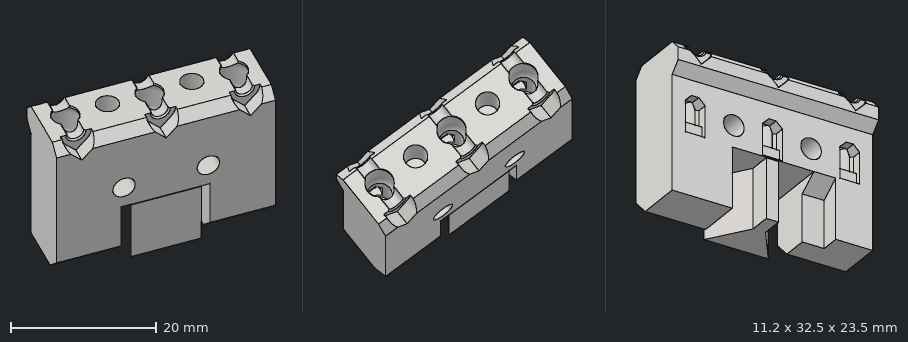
import cadquery as cq
import math

LENGTH = 32.5
THICKNESS = 11.2
HEIGHT = 23.5
LIP = 1.6
LIP_FACE = 2.0
FOOT_CHAMFER = 2.5

SEAT_PITCH = 12.5
SEAT_POSITIONS = [-SEAT_PITCH, 0, SEAT_PITCH]
HOLE_POSITIONS = [-SEAT_PITCH / 2, SEAT_PITCH / 2]
BORE_X = 5.0

SEAT_DIAMETER = 4.6
SEAT_MOUTH_DIAMETER = 4.03
SEAT_MOUTH_DEPTH = 0.4
SEAT_WALL_DEPTH = 4.55
BORE_DIAMETER = 3.5
BORE_FLOOR = 10.92

GROOVE_DIAMETER = 2.5
GROOVE_MOUTH_DIAMETER = 3.0
RECESS_DIAMETER = 4.55
FRONT_RECESS_DEPTH = 1.0
BACK_RECESS_DEPTH = 2.25

HOLE_DIAMETER = 3.3
HOLE_DEPTH = 6.5
CROSS_HOLE_Z = 13.15

WINDOW_WIDTH = 3.2
WINDOW_THROAT_WIDTH = 2.73
WINDOW_TAPER_START = 3.15
WINDOW_TAPER_END = 3.85
WINDOW_BOTTOM = 9.88
WINDOW_TOP = 15.9
WINDOW_CHAMFER = 1.0
WINDOW_LEDGE_DEPTH = 0.8
WINDOW_SILL = 11.93

OPENING_TOP = 9.7
OPENING_LEFT_Y = 6.5
OPENING_RIGHT_Y = -10.25
STEP_Y = -6.7
STEP_X = 4.65
STEP_SLOPE_HEIGHT = 2.08

KEY_CLEARANCE = 0.1
KEY_NOSE_WIDTH = 2.0
KEY_NOSE_LENGTH = 3.48
KEY_BACK_WIDTH = 10.45


def along_x(workplane_x):
    """Workplane facing +X whose local axes are Y and Z."""
    return cq.Workplane("YZ", origin=(workplane_x, 0, 0))


def make_profile_block():
    lip_bottom = HEIGHT - LIP - LIP_FACE
    outline = [
        (LIP, 0),
        (THICKNESS - FOOT_CHAMFER, 0),
        (THICKNESS, FOOT_CHAMFER),
        (THICKNESS, HEIGHT - LIP),
        (THICKNESS - LIP, HEIGHT),
        (LIP, HEIGHT),
        (0, HEIGHT - LIP),
        (0, lip_bottom),
        (LIP, lip_bottom - LIP),
    ]
    return cq.Workplane("XZ").polyline(outline).close().extrude(LENGTH / 2, both=True)


def make_opening():
    main = along_x(0).moveTo(STEP_Y, 0).lineTo(OPENING_LEFT_Y, 0).lineTo(OPENING_LEFT_Y, OPENING_TOP)
    main = main.lineTo(STEP_Y, OPENING_TOP).close().extrude(THICKNESS)
    step_outline = [
        (LIP, 0),
        (STEP_X, 0),
        (STEP_X, OPENING_TOP - STEP_SLOPE_HEIGHT),
        (LIP, OPENING_TOP),
    ]
    step = cq.Workplane("XZ", origin=(0, STEP_Y, 0)).polyline(step_outline).close()
    return main.union(step.extrude(STEP_Y - OPENING_RIGHT_Y))


def make_seat(y):
    """Seat with domed ends and a narrower mouth, and the blind bore below it."""
    ball_radius = SEAT_DIAMETER / 2
    mouth_radius = SEAT_MOUTH_DIAMETER / 2
    bore_radius = BORE_DIAMETER / 2
    dome_angle = math.acos(mouth_radius / ball_radius)
    bowl_angle = math.acos(bore_radius / ball_radius)
    dome_top = HEIGHT - SEAT_MOUTH_DEPTH
    dome_base = dome_top - ball_radius * math.sin(dome_angle)
    bowl_top = HEIGHT - SEAT_WALL_DEPTH
    bowl_bottom = bowl_top - ball_radius * math.sin(bowl_angle)
    dome_middle = (
        ball_radius * math.cos(dome_angle / 2),
        dome_base + ball_radius * math.sin(dome_angle / 2),
    )
    bowl_middle = (
        ball_radius * math.cos(bowl_angle / 2),
        bowl_top - ball_radius * math.sin(bowl_angle / 2),
    )
    half_section = (
        cq.Workplane("XZ", origin=(BORE_X, y, 0))
        .moveTo(0, BORE_FLOOR)
        .lineTo(bore_radius, BORE_FLOOR)
        .lineTo(bore_radius, bowl_bottom)
        .threePointArc(bowl_middle, (ball_radius, bowl_top))
        .lineTo(ball_radius, dome_base)
        .threePointArc(dome_middle, (mouth_radius, dome_top))
        .lineTo(mouth_radius, HEIGHT)
        .lineTo(0, HEIGHT)
        .close()
    )
    return half_section.revolve(360, (0, 0, 0), (0, 1, 0))


def make_recess(y, start_x, depth):
    """Teardrop recess, pointing down, along X."""
    radius = RECESS_DIAMETER / 2
    tangent = radius * 0.5**0.5
    circle = along_x(start_x).center(y, HEIGHT).circle(radius).extrude(depth)
    point = along_x(start_x).center(y, HEIGHT)
    point = point.polyline([(-tangent, -tangent), (0, -2 * tangent), (tangent, -tangent)]).close()
    return circle.union(point.extrude(depth))


def make_groove(y):
    """Round cable groove along X, flared where it meets the recesses."""
    radius = GROOVE_DIAMETER / 2
    mouth_radius = GROOVE_MOUTH_DIAMETER / 2
    flare = mouth_radius - radius
    front_x = FRONT_RECESS_DEPTH
    back_x = THICKNESS - BACK_RECESS_DEPTH
    outline = [
        (front_x, 0),
        (front_x, mouth_radius),
        (front_x + flare, radius),
        (back_x - flare, radius),
        (back_x, mouth_radius),
        (back_x, 0),
    ]
    groove = cq.Workplane("XY", origin=(0, y, HEIGHT)).polyline(outline).close()
    return groove.revolve(360, (0, 0, 0), (1, 0, 0))


def make_window(y):
    """Chamfer-topped window: a shallow ledge below, a tapering opening to the bore above."""
    window_height = WINDOW_TOP - WINDOW_BOTTOM
    half_width = WINDOW_WIDTH / 2
    half_throat = WINDOW_THROAT_WIDTH / 2
    opening = (
        along_x(LIP)
        .center(y, WINDOW_BOTTOM + window_height / 2)
        .rect(WINDOW_WIDTH, window_height)
        .extrude(BORE_X - LIP)
        .edges("|X and >Z")
        .chamfer(WINDOW_CHAMFER)
    )
    plan = [
        (LIP, -half_width),
        (WINDOW_TAPER_START, -half_width),
        (WINDOW_TAPER_END, -half_throat),
        (BORE_X, -half_throat),
        (BORE_X, half_throat),
        (WINDOW_TAPER_END, half_throat),
        (WINDOW_TAPER_START, half_width),
        (LIP, half_width),
    ]
    passage = cq.Workplane("XY", origin=(0, y, 0)).polyline(plan).close().extrude(HEIGHT)
    sill = along_x(LIP + WINDOW_LEDGE_DEPTH).center(y, WINDOW_SILL / 2)
    sill = sill.rect(WINDOW_WIDTH, WINDOW_SILL).extrude(BORE_X)
    return opening.intersect(passage).cut(sill)


def make_block():
    block = make_profile_block().cut(make_opening())
    for y in SEAT_POSITIONS:
        block = block.cut(make_seat(y))
        block = block.cut(make_groove(y))
        block = block.cut(make_recess(y, 0, FRONT_RECESS_DEPTH))
        block = block.cut(make_recess(y, THICKNESS - BACK_RECESS_DEPTH, BACK_RECESS_DEPTH))
        block = block.cut(make_window(y))
    for y in HOLE_POSITIONS:
        upright = cq.Workplane("XY", origin=(BORE_X, y, HEIGHT)).circle(HOLE_DIAMETER / 2)
        block = block.cut(upright.extrude(-HOLE_DEPTH))
        cross = along_x(0).center(y, CROSS_HOLE_Z).circle(HOLE_DIAMETER / 2)
        block = block.cut(cross.extrude(THICKNESS))
    return block


def make_key():
    nose = KEY_NOSE_WIDTH / 2
    back = KEY_BACK_WIDTH / 2
    taper_x = LIP + KEY_NOSE_LENGTH
    outline = [
        (LIP, -nose),
        (taper_x, -nose),
        (THICKNESS, -back),
        (THICKNESS, back),
        (taper_x, nose),
        (LIP, nose),
    ]
    return cq.Workplane("XY").polyline(outline).close().extrude(OPENING_TOP - KEY_CLEARANCE)


block = make_block()
key = make_key()

result = cq.Compound.makeCompound([block.val(), key.val()])